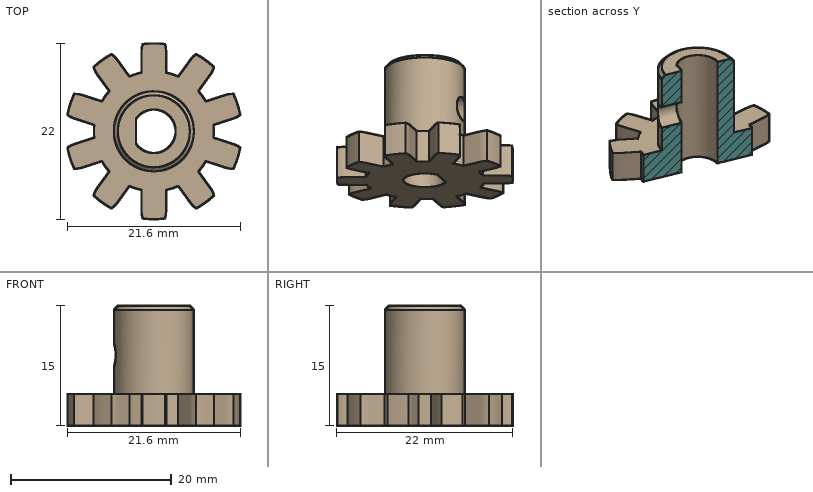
import cadquery as cq
import math

tooth_count = 10
tip_radius = 11.0
root_radius = 7.5
gear_height = 4.0
tooth_half_width = 1.55
tip_half_width = 1.38
flank_bend_y = 9.9

total_height = 15.0
hub_diameter = 10.0
hub_chamfer = 0.5

bore_diameter = 5.4
flat_offset = 2.22
screw_diameter = 3.0
screw_height = 8.84


def make_tooth():
    """One tooth along +Y, with straight flanks that curve inward to a round tip."""
    corner_y = math.sqrt(tip_radius**2 - tip_half_width**2)
    base_y = root_radius / 2
    return (
        cq.Workplane("XY")
        .moveTo(-tooth_half_width, base_y)
        .lineTo(tooth_half_width, base_y)
        .lineTo(tooth_half_width, flank_bend_y)
        .tangentArcPoint((tip_half_width, corner_y), relative=False)
        .threePointArc((0, tip_radius), (-tip_half_width, corner_y))
        .threePointArc(left_flank_middle(corner_y), (-tooth_half_width, flank_bend_y))
        .close()
        .extrude(gear_height)
    )


def left_flank_middle(corner_y):
    """Middle of the left flank arc, which is tangent to the straight flank."""
    inset = tooth_half_width - tip_half_width
    rise = corner_y - flank_bend_y
    arc_radius = (inset**2 + rise**2) / (2 * inset)
    half_angle = math.asin(rise / arc_radius) / 2
    x = -tooth_half_width + arc_radius * (1 - math.cos(half_angle))
    y = flank_bend_y + arc_radius * math.sin(half_angle)
    return x, y


def make_gear():
    gear = cq.Workplane("XY").circle(root_radius).extrude(gear_height)
    tooth = make_tooth()
    for index in range(tooth_count):
        angle = index * 360 / tooth_count
        gear = gear.union(tooth.rotate((0, 0, 0), (0, 0, 1), angle))
    return gear


def make_hub():
    hub = cq.Workplane("XY").circle(hub_diameter / 2).extrude(total_height)
    return hub.faces(">Z").edges().chamfer(hub_chamfer)


def make_bore():
    """Through bore with a flat on its -X side."""
    bore_radius = bore_diameter / 2
    flat_half_length = math.sqrt(bore_radius**2 - flat_offset**2)
    return (
        cq.Workplane("XY")
        .moveTo(-flat_offset, -flat_half_length)
        .threePointArc((bore_radius, 0), (-flat_offset, flat_half_length))
        .close()
        .extrude(total_height)
    )


def make_screw_hole():
    """Radial hole from the -X side of the hub into the bore."""
    return (
        cq.Workplane("YZ")
        .center(0, screw_height)
        .circle(screw_diameter / 2)
        .extrude(-hub_diameter)
    )


result = make_gear().union(make_hub()).cut(make_bore()).cut(make_screw_hole())